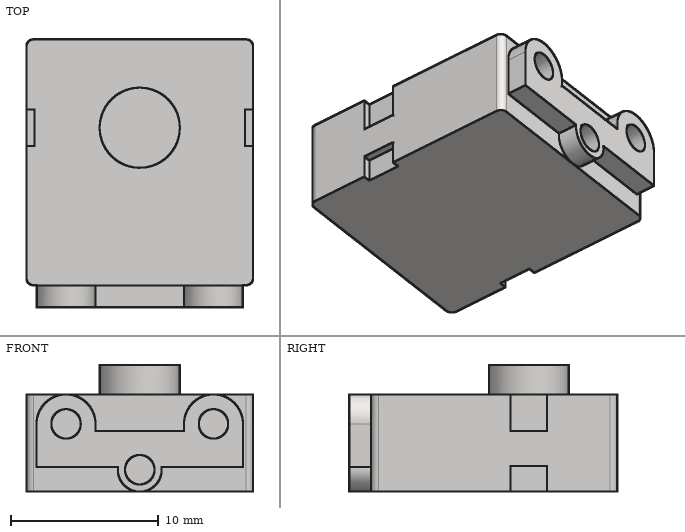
import cadquery as cq

body_width = 15.4
total_depth = 18.2
bracket_thickness = 1.5
body_depth = total_depth - bracket_thickness
body_height = 6.6
corner_radius = 0.5

button_diameter = 5.45
button_height = 2.0
button_y = 10.7

notch_length = 2.5
notch_depth = 0.55
notch_y = button_y
upper_notch_height = 2.5
lower_notch_height = 1.75

ear_radius = 2.0
ear_spacing = 10.01
ear_z = body_height - ear_radius
lug_radius = 1.5
lug_z = lug_radius
bar_top = 4.13
bar_bottom = 1.7
bracket_hole_diameter = 2.0


def make_body():
    block = cq.Workplane("XY").box(body_width, body_depth, body_height, centered=(True, False, False))
    return block.edges("|Z").fillet(corner_radius)


def make_button():
    button = cq.Workplane("XY", origin=(0, button_y, body_height))
    return button.circle(button_diameter / 2).extrude(button_height)


def make_notch(side, bottom, height):
    """Cutter for one notch; side is -1 or 1 along X."""
    cutter = cq.Workplane("XY", origin=(side * body_width / 2, notch_y, bottom))
    return cutter.box(2 * notch_depth, notch_length, height, centered=(True, True, False))


def front_disc(x, z, radius):
    """Disc reaching from the body's front face to the bracket's outer face."""
    return cq.Workplane("XZ", origin=(x, 0, z)).circle(radius).extrude(bracket_thickness)


def front_plate(x, width, bottom, top):
    """Upright rectangular plate of bracket thickness on the front face."""
    plate = cq.Workplane("XZ", origin=(x, 0, (bottom + top) / 2))
    return plate.rect(width, top - bottom).extrude(bracket_thickness)


def make_bracket():
    bracket = front_plate(0, ear_spacing, bar_bottom, bar_top)
    for side in (-1, 1):
        ear_x = side * ear_spacing / 2
        bracket = bracket.union(front_plate(ear_x, 2 * ear_radius, bar_bottom, ear_z))
        bracket = bracket.union(front_disc(ear_x, ear_z, ear_radius))

    bracket = bracket.union(front_disc(0, lug_z, lug_radius))

    hole_places = [(-ear_spacing / 2, ear_z), (ear_spacing / 2, ear_z), (0, lug_z)]
    for x, z in hole_places:
        bracket = bracket.cut(front_disc(x, z, bracket_hole_diameter / 2))
    return bracket


result = make_body().union(make_button())
for side in (-1, 1):
    result = result.cut(make_notch(side, body_height - upper_notch_height, upper_notch_height))
    result = result.cut(make_notch(side, 0, lower_notch_height))
result = result.union(make_bracket())